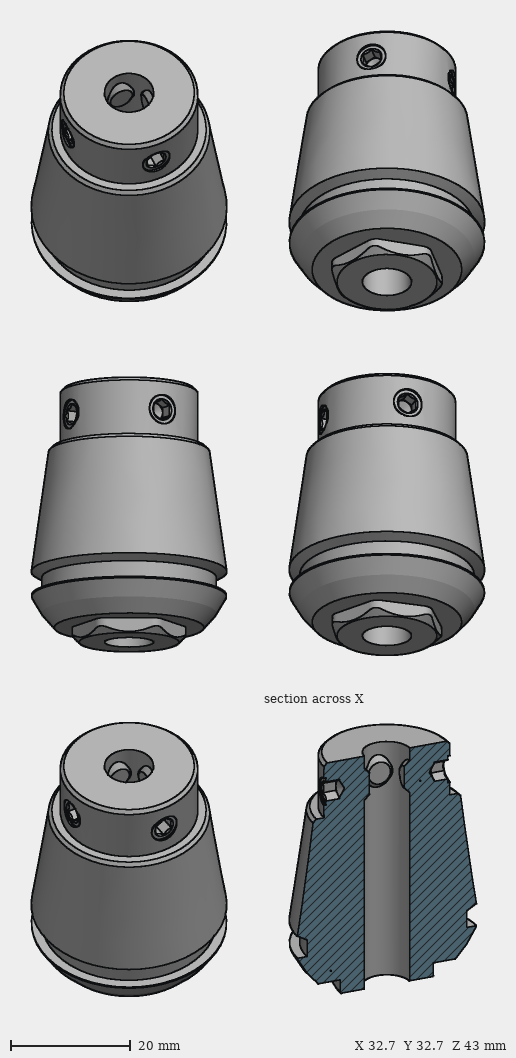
import math

import cadquery as cq

total_height = 43.0
hex_height = 2.5
flange_bend_z = 4.9
flange_rim_bottom_z = 7.75
flange_rim_top_z = 8.0
groove_top_z = 11.0
taper_bottom_z = 12.0
shoulder_z = total_height - 10.0

head_diameter = 23.0
groove_diameter = 29.2
flange_diameter = 32.6
taper_diameter = 32.71
flange_bottom_diameter = 25.0
bore_diameter = 8.2
edge_chamfer = 0.6
taper_angle = 8.0

hex_across_flats = 17.0
hex_corner_radius = 2.0
hex_bottom_diameter = 16.7

screw_count = 4
screw_z = total_height - 5.27
screw_hole_diameter = 4.92
screw_diameter = 6.0
screw_end_diameter = 4.85
screw_length = 8.0
screw_tip_offset = 3.13
screw_tip_diameter = 4.0
socket_across_flats = 3.0
socket_mouth_diameter = 3.6
socket_depth = 2.5
socket_drill_angle = 120.0


def across_corners(across_flats):
    """Corner-to-corner size of a regular hexagon."""
    return across_flats / math.cos(math.pi / 6)


def make_body():
    """Turned body: flange, groove, taper and cylindrical head."""
    head_radius = head_diameter / 2
    groove_radius = groove_diameter / 2
    flange_radius = flange_diameter / 2
    taper_radius = taper_diameter / 2
    taper_top_z = shoulder_z - edge_chamfer
    taper_height = taper_top_z - taper_bottom_z
    taper_top_radius = taper_radius - taper_height * math.tan(math.radians(taper_angle))
    return (
        cq.Workplane("XZ")
        .moveTo(0, hex_height)
        .lineTo(flange_bottom_diameter / 2, hex_height)
        .lineTo(groove_radius, flange_bend_z)
        .lineTo(flange_radius, flange_rim_bottom_z)
        .lineTo(flange_radius, flange_rim_top_z)
        .lineTo(groove_radius, flange_rim_top_z)
        .lineTo(groove_radius, groove_top_z)
        .lineTo(taper_radius, taper_bottom_z)
        .lineTo(taper_top_radius, taper_top_z)
        .lineTo(taper_top_radius - edge_chamfer, shoulder_z)
        .lineTo(head_radius, shoulder_z)
        .lineTo(head_radius, total_height - edge_chamfer)
        .lineTo(head_radius - edge_chamfer, total_height)
        .lineTo(0, total_height)
        .close()
        .revolve(360, (0, 0, 0), (0, 1, 0))
    )


def make_hex():
    """Hex with rounded corners, cut back by a 45 degree cone at its lower end."""
    prism = (
        cq.Workplane("XY")
        .polygon(6, across_corners(hex_across_flats))
        .extrude(hex_height)
        .edges("|Z")
        .fillet(hex_corner_radius)
    )
    bottom_radius = hex_bottom_diameter / 2
    cone = cq.Workplane(
        cq.Solid.makeCone(bottom_radius, bottom_radius + hex_height, hex_height)
    )
    return prism.intersect(cone)


def make_screw():
    """Set screw along +X with 45 degree end chamfers and a hex socket in its outer end."""
    outer_end = screw_tip_offset + screw_length
    radius = screw_diameter / 2
    tip_radius = screw_tip_diameter / 2
    end_radius = screw_end_diameter / 2
    tip_chamfer = radius - tip_radius
    end_chamfer = radius - end_radius
    screw = (
        cq.Workplane("XZ")
        .moveTo(screw_tip_offset, screw_z)
        .lineTo(screw_tip_offset, screw_z + tip_radius)
        .lineTo(screw_tip_offset + tip_chamfer, screw_z + radius)
        .lineTo(outer_end - end_chamfer, screw_z + radius)
        .lineTo(outer_end, screw_z + end_radius)
        .lineTo(outer_end, screw_z)
        .close()
        .revolve(360, (0, screw_z, 0), (1, screw_z, 0))
    )
    socket = (
        cq.Workplane("YZ", origin=(outer_end, 0, screw_z))
        .transformed(rotate=(0, 0, 90))
        .polygon(6, across_corners(socket_across_flats))
        .extrude(-socket_depth)
    )
    inward = cq.Vector(-1, 0, 0)
    drill_radius = socket_across_flats / 2
    drill_depth = drill_radius / math.tan(math.radians(socket_drill_angle / 2))
    drill_point = cq.Solid.makeCone(
        drill_radius, 0, drill_depth, cq.Vector(outer_end - socket_depth, 0, screw_z), inward
    )
    mouth_radius = socket_mouth_diameter / 2
    mouth = cq.Solid.makeCone(
        mouth_radius, 0, mouth_radius, cq.Vector(outer_end, 0, screw_z), inward
    )
    return screw.cut(socket).cut(cq.Workplane(drill_point)).cut(cq.Workplane(mouth))


def make_bore():
    """Bore through the whole part."""
    return cq.Workplane("XY").circle(bore_diameter / 2).extrude(total_height)


def make_screw_hole():
    """Radial hole from the part axis out through the head along +X."""
    return (
        cq.Workplane("YZ", origin=(0, 0, screw_z))
        .circle(screw_hole_diameter / 2)
        .extrude(head_diameter)
    )


result = make_body().union(make_hex()).cut(make_bore())
axis_start = (0, 0, 0)
axis_end = (0, 0, 1)
for index in range(screw_count):
    angle = index * 360 / screw_count
    result = result.cut(make_screw_hole().rotate(axis_start, axis_end, angle))
    result = result.union(make_screw().rotate(axis_start, axis_end, angle))